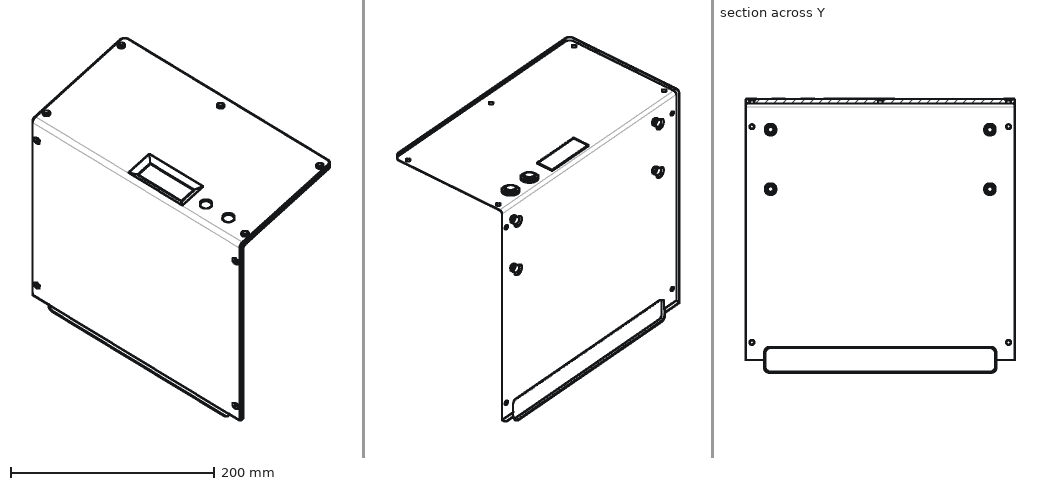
import cadquery as cq

width = 265.3
depth = 143.3
height = 270.0

sheet = 4.9
bend_outer_radius = 4.5
bend_inner_radius = 3.2
corner_radius = 6.0
edge_chamfer = 1.0

tab_width = 228.9
tab_height = 25.6
tab_drop = 12.5
tab_thickness = 3.2
tab_back = 7.0
tab_corner_radius = 5.7
tab_bevel_inset = 1.3
tab_bevel_depth = 2.5
wall_height = height - tab_drop

screw_hole_diameter = 4.3
countersink_diameter = 7.5
countersink_angle = 82
screw_x = 126.3
wall_screw_z = (-27.5, -240.0)
roof_front_screw_y = 15.0
roof_back_screw_y = depth - 12.0

controls_y = 21.3
window_x = 20.5
window_length = 55.5
window_width = 19.5
window_bevel = 6.5
window_lip = 1.0
button_x = (71.5, 100.0)
button_diameter = 12.1
button_recess_diameter = 17.8
button_panel_thickness = 2.7

standoff_x = 108.0
standoff_z = (-30.5, -89.0)
standoff_diameter = 7.8
standoff_length = 7.8
standoff_foot_diameter = 11.3
standoff_foot_length = 2.0
standoff_chamfer = 1.0


def near(point):
    """Selector for the edge closest to a point."""
    return cq.selectors.NearestToPointSelector(point)


def make_sheet():
    """L-shaped sheet with a rounded bend, rounded back corners and bevelled outer edges."""
    body = (
        cq.Workplane("YZ")
        .polyline([
            (0, 0),
            (depth, 0),
            (depth, -sheet),
            (sheet, -sheet),
            (sheet, -wall_height),
            (0, -wall_height),
        ])
        .close()
        .extrude(width / 2, both=True)
    )
    body = body.edges("|Z and >Y").fillet(corner_radius)
    body = body.edges(near((0, sheet, -sheet))).fillet(bend_inner_radius)
    body = body.edges(near((0, 0, 0))).fillet(bend_outer_radius)
    return body.edges(near((0, depth, 0))).chamfer(edge_chamfer)


def make_tab():
    """Flat tab with rounded corners and a bevelled back rim."""
    return (
        cq.Workplane("XY")
        .box(tab_width, tab_thickness, tab_height, centered=(True, False, False))
        .edges("|Y")
        .fillet(tab_corner_radius)
        .faces(">Y")
        .chamfer(tab_bevel_inset, tab_bevel_depth)
        .translate((0, tab_back - tab_thickness, -height))
    )


def make_standoffs():
    """Two rows of round posts on the inner wall face, with a flared foot and a bevelled tip."""
    radius = standoff_diameter / 2
    post = (
        cq.Workplane("XY")
        .polyline([
            (0, 0),
            (standoff_foot_diameter / 2, 0),
            (radius, standoff_foot_length),
            (radius, standoff_length - standoff_chamfer),
            (radius - standoff_chamfer, standoff_length),
            (0, standoff_length),
        ])
        .close()
        .revolve(360, (0, 0, 0), (0, 1, 0))
    )
    posts = cq.Workplane("XY")
    for x in (-standoff_x, standoff_x):
        for z in standoff_z:
            posts = posts.add(post.translate((x, sheet, z)))
    return posts.combine()


def cut_screw_holes(body):
    """Countersunk through holes in the wall and along the rim of the roof."""
    wall_points = [(x, z) for x in (-screw_x, screw_x) for z in wall_screw_z]
    roof_points = [(x, y) for x in (-screw_x, screw_x) for y in (roof_front_screw_y, roof_back_screw_y)]
    roof_points.append((0, roof_back_screw_y))
    for plane, points in (("XZ", wall_points), ("XY", roof_points)):
        body = (
            cq.Workplane(plane)
            .add(body)
            .pushPoints(points)
            .cskHole(screw_hole_diameter, countersink_diameter, countersink_angle, depth=sheet)
        )
    return body


def make_window():
    """Rectangular opening with a straight lip below and sloped sides widening to the top face."""
    opening = (
        cq.Workplane("XY", origin=(window_x, controls_y, 0))
        .rect(window_length, window_width)
        .extrude(-sheet)
    )
    slopes = (
        cq.Workplane("XY", origin=(window_x, controls_y, 0))
        .rect(window_length + 2 * window_bevel, window_width + 2 * window_bevel)
        .workplane(offset=window_lip - sheet)
        .rect(window_length, window_width)
        .loft(ruled=True)
    )
    return opening.union(slopes)


def make_button_holes():
    """Round through holes, each with a wider recess in the underside of the roof."""
    points = [(x, controls_y) for x in button_x]
    holes = cq.Workplane("XY").pushPoints(points).circle(button_diameter / 2).extrude(-sheet)
    recesses = (
        cq.Workplane("XY", origin=(0, 0, -sheet))
        .pushPoints(points)
        .circle(button_recess_diameter / 2)
        .extrude(sheet - button_panel_thickness)
    )
    return holes.union(recesses)


body = make_sheet()
body = body.union(make_tab()).union(make_standoffs())
body = cut_screw_holes(body)
result = body.cut(make_window()).cut(make_button_holes())